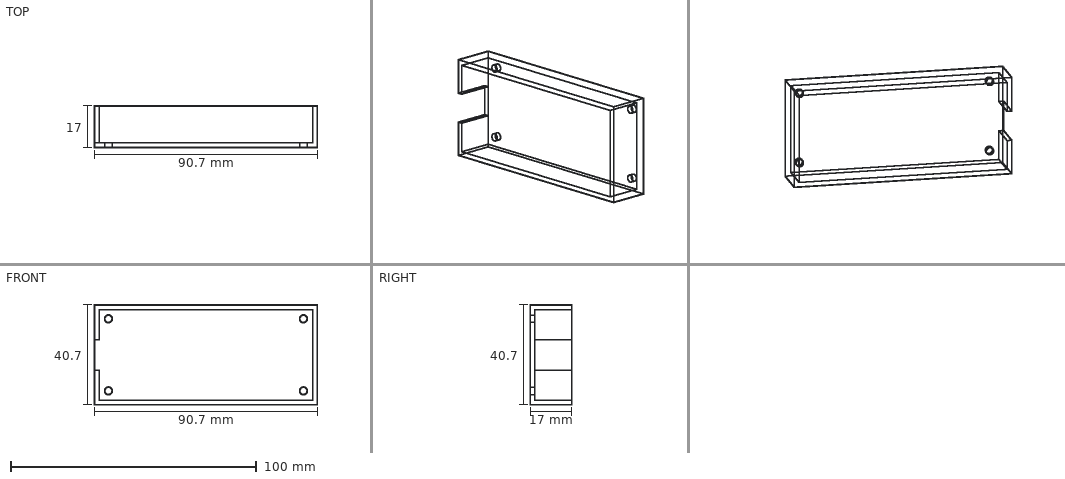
import cadquery as cq

length = 90.7
depth = 17.0
height = 40.7

wall = 2.0
plate = 2.0

hole_diameter = 3.0
hole_inset = 5.7

notch_height = 12.3
notch_top_drop = 14.2


def make_shell():
    """Open-backed box with its front face on Y = 0."""
    outer = cq.Workplane("XY").box(length, depth, height, centered=(True, False, True))
    cavity = (
        cq.Workplane("XY")
        .box(length - 2 * wall, depth - plate, height - 2 * wall, centered=(True, False, True))
        .translate((0, plate, 0))
    )
    return outer.cut(cavity)


def make_mounting_holes():
    """Four pins near the corners of the front plate."""
    return (
        cq.Workplane("XZ")
        .rect(length - 2 * hole_inset, height - 2 * hole_inset, forConstruction=True)
        .vertices()
        .circle(hole_diameter / 2)
        .extrude(-plate)
    )


def make_notch():
    """Block that opens the -X wall from the plate to the back edge."""
    notch_bottom = height / 2 - notch_top_drop - notch_height
    return (
        cq.Workplane("XY")
        .box(wall, depth - plate, notch_height, centered=False)
        .translate((-length / 2, plate, notch_bottom))
    )


result = make_shell().cut(make_mounting_holes()).cut(make_notch())